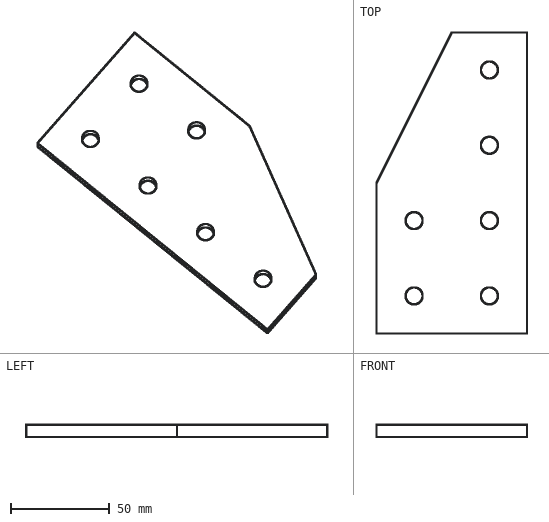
import cadquery as cq

pitch = 38.1
thickness = 6.35
hole_diameter = 8.5

width = 2 * pitch
length = 4 * pitch
shoulder_y = 2 * pitch
tip_x = pitch

hole_cells = [(0, 0), (0, 1)] + [(1, row) for row in range(4)]


def plate():
    """Flat plate with its far left corner cut off on a slant."""
    outline = [
        (0, 0),
        (width, 0),
        (width, length),
        (tip_x, length),
        (0, shoulder_y),
    ]
    return cq.Workplane("XY").polyline(outline).close().extrude(thickness)


def bolt_holes():
    """Cylinders that cut the through holes."""
    centers = [((column + 0.5) * pitch, (row + 0.5) * pitch) for column, row in hole_cells]
    return cq.Workplane("XY").pushPoints(centers).circle(hole_diameter / 2).extrude(thickness)


result = plate().cut(bolt_holes())